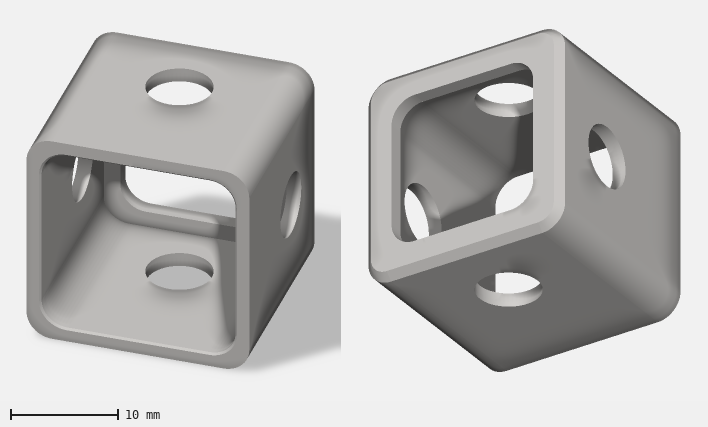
import cadquery as cq

side = 21.85
depth = 20.64
outer_radius = 2.51
back_chamfer = 0.76

cavity_side = 19.0
cavity_radius = 2.51
floor_thickness = 1.5
mouth_chamfer = 0.2

window_side = 15.72
window_radius = 2.51

hole_diameter = 6.38
hole_from_front = 12.67


def rounded_bar(width, corner_radius, start_y, end_y):
    """Square bar along Y with rounded long edges."""
    length = end_y - start_y
    bar = cq.Workplane("XY").box(width, length, width)
    return bar.edges("|Y").fillet(corner_radius).translate((0, start_y + length / 2, 0))


def cross_hole(plane):
    """Cylinder through two opposite walls, along the normal of the plane."""
    cylinder = cq.Workplane(plane).circle(hole_diameter / 2).extrude(side, both=True)
    return cylinder.translate((0, hole_from_front, 0))


body = rounded_bar(side, outer_radius, 0, depth).faces(">Y").chamfer(back_chamfer)
cavity = rounded_bar(cavity_side, cavity_radius, 0, depth - floor_thickness)
window = rounded_bar(window_side, window_radius, 0, depth)

result = body.cut(cavity)
mouth_wires = result.faces("<Y").val().innerWires()
result = result.newObject(mouth_wires).edges().chamfer(mouth_chamfer)
result = result.cut(window)
for hole_plane in ("XY", "YZ"):
    result = result.cut(cross_hole(hole_plane))